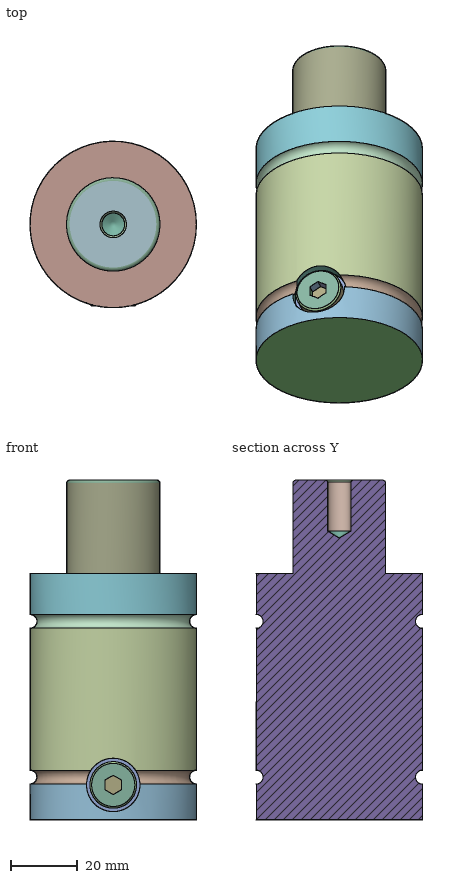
import cadquery as cq
import math

total_height = 102.0
body_diameter = 50.0
body_radius = body_diameter / 2
body_height = 74.0
rod_diameter = 28.0
rod_edge_radius = 1.0

groove_radius = 2.0
groove_heights = (12.9, 59.6)

hole_diameter = 6.8
hole_mouth_diameter = 8.0
hole_depth = 15.3
drill_tip_angle = 118.0

plug_height = 10.5
plug_diameter = 14.0
plug_chamfer = 0.5
plug_inset = 0.5
plug_gap_diameter = 16.0
plug_gap_depth = 4.1
hex_across_flats = 5.0
hex_depth = 3.1


def make_body():
    rod_height = total_height - body_height
    body = cq.Workplane("XY").circle(body_radius).extrude(body_height)
    rod = cq.Workplane("XY").workplane(offset=body_height).circle(rod_diameter / 2).extrude(rod_height)
    return body.union(rod.faces(">Z").fillet(rod_edge_radius))


def make_groove(height):
    """Ring whose circular section is centred on the body surface."""
    return cq.Workplane("XZ").center(body_radius, height).circle(groove_radius).revolve(
        360, (-body_radius, 0), (-body_radius, 1)
    )


def make_rod_hole():
    """Drilled hole with a 45 degree countersink and a conical bottom."""
    radius = hole_diameter / 2
    mouth_radius = hole_mouth_diameter / 2
    hole_bottom = total_height - hole_depth
    tip_length = radius / math.tan(math.radians(drill_tip_angle / 2))
    return (
        cq.Workplane("XZ")
        .moveTo(0, total_height)
        .lineTo(mouth_radius, total_height)
        .lineTo(radius, total_height - (mouth_radius - radius))
        .lineTo(radius, hole_bottom)
        .lineTo(0, hole_bottom - tip_length)
        .close()
        .revolve(360, (0, 0), (0, 1))
    )


def side_plane(inset):
    """Plane parallel to XZ, a given distance inside the -Y side, centred on the plug."""
    return cq.Workplane("XZ", origin=(0, inset - body_radius, plug_height))


def make_plug():
    plug_length = plug_gap_depth - plug_inset
    plug = side_plane(plug_gap_depth).circle(plug_diameter / 2).extrude(plug_length)
    plug = plug.faces("<Y").chamfer(plug_chamfer)
    hex_across_corners = hex_across_flats / math.cos(math.radians(30))
    socket = (
        side_plane(plug_inset)
        .transformed(rotate=(0, 0, 90))
        .polygon(6, hex_across_corners)
        .extrude(-hex_depth)
    )
    return plug.cut(socket)


result = make_body()
for groove_height in groove_heights:
    result = result.cut(make_groove(groove_height))
result = result.cut(make_rod_hole())
plug_pocket = side_plane(0).circle(plug_gap_diameter / 2).extrude(-plug_gap_depth)
result = result.cut(plug_pocket).union(make_plug())